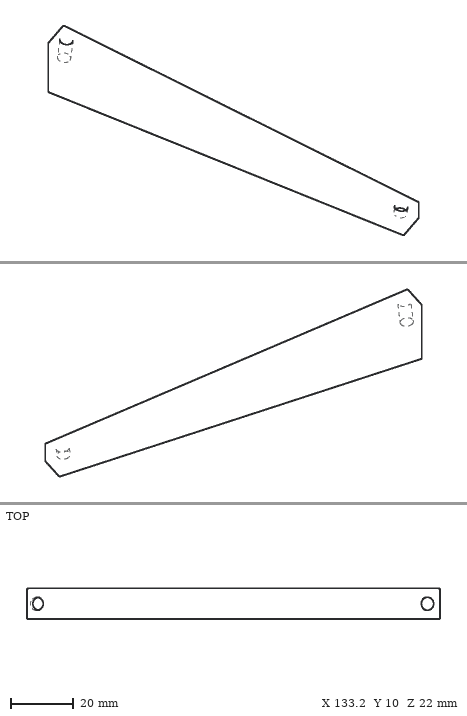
import cadquery as cq
import math

length = 133.2
width = 10.0
tall_end = 22.0
short_end = 7.2
edge_radius = 0.5

hole_diameter = 4.3
rim_radius = edge_radius
hole_inset = 4.1
hole_spacing = 125.2
tall_end_depth = 8.7
short_end_depth = 3.3

slope = (tall_end - short_end) / length
slope_angle = math.atan(slope)
slope_normal = cq.Vector(math.sin(slope_angle), 0, math.cos(slope_angle))
peak_allowance = edge_radius * (1 / slope_normal.z + slope - 1)


def make_wedge():
    """Tapered bar with every outer edge rounded."""
    outline = [
        (0, 0),
        (length, 0),
        (length, short_end + peak_allowance),
        (0, tall_end + peak_allowance),
    ]
    bar = cq.Workplane("XZ").polyline(outline).close().extrude(width / 2, both=True)
    return bar.edges().fillet(edge_radius)


def make_hole(x, depth):
    """Cutter for one blind hole with a rounded rim, starting on the sloping face."""
    radius = hole_diameter / 2
    surface_z = tall_end + peak_allowance - slope * x
    plane = cq.Plane(
        origin=(x, 0, surface_z),
        xDir=(slope_normal.z, 0, -slope_normal.x),
        normal=(0, -1, 0),
    )
    half_profile = (
        cq.Workplane(plane)
        .moveTo(0, 0)
        .lineTo(radius + rim_radius, 0)
        .radiusArc((radius, -rim_radius), -rim_radius)
        .lineTo(radius, -depth)
        .lineTo(0, -depth)
        .close()
    )
    return half_profile.revolve(360, (0, 0), (0, 1))


result = make_wedge()
for hole_x, hole_depth in (
    (hole_inset, tall_end_depth),
    (hole_inset + hole_spacing, short_end_depth),
):
    result = result.cut(make_hole(hole_x, hole_depth))